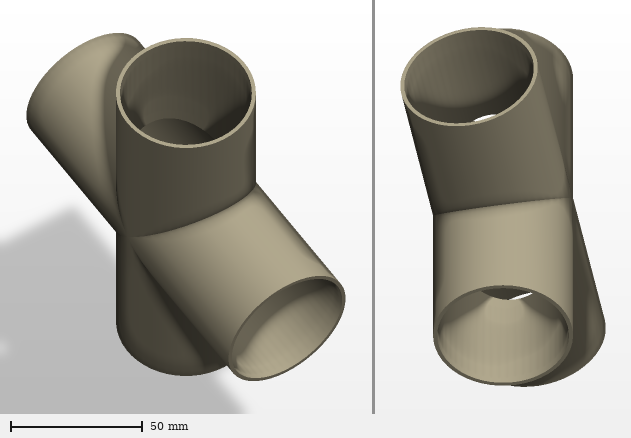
import cadquery as cq

length = 140.0
outer_diameter = 53.0
inner_diameter = 50.0


def crossed_cylinders(diameter):
    """Two equal cylinders along X and Z, crossing at the origin."""
    along_x = cq.Workplane("YZ").circle(diameter / 2).extrude(length / 2, both=True)
    along_z = cq.Workplane("XY").circle(diameter / 2).extrude(length / 2, both=True)
    return along_x.union(along_z)


result = crossed_cylinders(outer_diameter).cut(crossed_cylinders(inner_diameter))